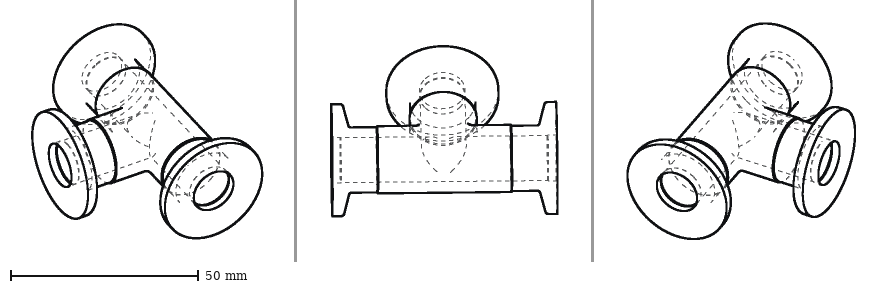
import cadquery as cq
import math

LEG_LENGTH = 30.0
BODY_RADIUS = 9.0
BODY_LEG = 18.0
CROTCH_FILLET = 2.0

NECK_RADIUS = 8.75
FLANGE_RADIUS = 15.0
RIM_THICKNESS = 3.0
CONE_ANGLE = 15.0
RIM_FILLET = 1.0
NECK_FILLET = 0.6

BORE_RADIUS = 6.0
MOUTH_RADIUS = 6.1
MOUTH_DEPTH = 2.25
MOUTH_TAPER_LENGTH = 0.2

X_AXIS = (1, 0, 0)
MINUS_X_AXIS = (-1, 0, 0)
MINUS_Y_AXIS = (0, -1, 0)
LEG_DIRECTIONS = (X_AXIS, MINUS_X_AXIS, MINUS_Y_AXIS)


def leg_plane(direction):
    """Plane at the tee centre whose normal points along a leg, with Z in the plane."""
    return cq.Plane(origin=(0, 0, 0), xDir=(0, 0, 1), normal=direction)


def leg_cylinder(direction, radius, length, start=0.0):
    """Cylinder along a leg, beginning at a distance from the tee centre."""
    return cq.Workplane(leg_plane(direction)).workplane(offset=start).circle(radius).extrude(length)


def make_body():
    """Solid run and branch of equal diameter with the crotch blended."""
    run = leg_cylinder(X_AXIS, BODY_RADIUS, 2 * BODY_LEG, start=-BODY_LEG)
    branch = leg_cylinder(MINUS_Y_AXIS, BODY_RADIUS, BODY_LEG)
    tee = run.union(branch)
    tee = tee.edges("%ELLIPSE").fillet(CROTCH_FILLET)
    return tee.faces("<X or >X or <Y").edges("%CIRCLE").chamfer(BODY_RADIUS - NECK_RADIUS)


def revolve_about_leg(profile, direction):
    """Revolve a sketch about a leg: sketch x is the radius, sketch y the distance along the leg."""
    sideways = cq.Vector(0, 0, 1).cross(cq.Vector(*direction))
    profile_plane = cq.Plane(origin=(0, 0, 0), xDir=(0, 0, 1), normal=sideways)
    return cq.Workplane(profile_plane).placeSketch(profile).revolve(360, (0, 0, 0), (0, 1, 0))


def make_ferrule(direction):
    """Solid neck and clamp flange at the end of one leg."""
    rim_corner = LEG_LENGTH - RIM_THICKNESS
    cone_height = (FLANGE_RADIUS - NECK_RADIUS) * math.tan(math.radians(CONE_ANGLE))
    cone_root = rim_corner - cone_height
    profile = cq.Sketch().polygon(
        [
            (0, BODY_LEG),
            (NECK_RADIUS, BODY_LEG),
            (NECK_RADIUS, cone_root),
            (FLANGE_RADIUS, rim_corner),
            (FLANGE_RADIUS, LEG_LENGTH),
            (0, LEG_LENGTH),
            (0, BODY_LEG),
        ]
    )
    nearest = cq.selectors.NearestToPointSelector
    profile = profile.vertices(nearest((NECK_RADIUS, cone_root, 0))).fillet(NECK_FILLET).reset()
    profile = profile.vertices(nearest((FLANGE_RADIUS, rim_corner, 0))).fillet(RIM_FILLET).reset()
    return revolve_about_leg(profile, direction)


def make_bore(direction):
    """Bore of one leg from the tee centre, with a slightly wider mouth at the flange face."""
    mouth_floor = LEG_LENGTH - MOUTH_DEPTH
    profile = cq.Sketch().polygon(
        [
            (0, 0),
            (BORE_RADIUS, 0),
            (BORE_RADIUS, mouth_floor - MOUTH_TAPER_LENGTH),
            (MOUTH_RADIUS, mouth_floor),
            (MOUTH_RADIUS, LEG_LENGTH),
            (0, LEG_LENGTH),
            (0, 0),
        ]
    )
    return revolve_about_leg(profile, direction)


result = make_body()
for leg in LEG_DIRECTIONS:
    result = result.union(make_ferrule(leg))
for leg in LEG_DIRECTIONS:
    result = result.cut(make_bore(leg))